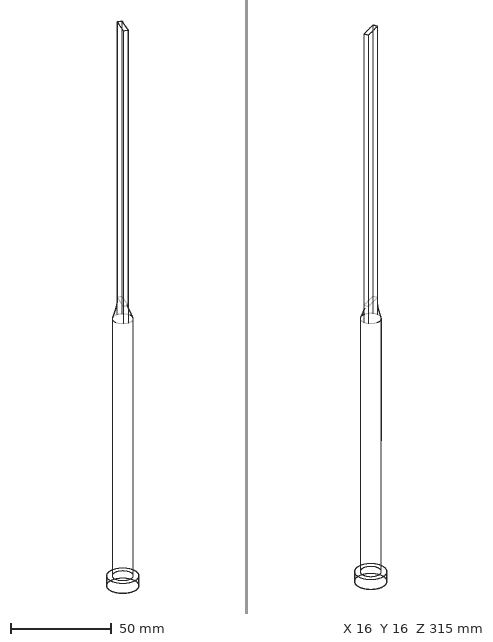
import cadquery as cq
import math

total_length = 315.0
head_diameter = 16.0
head_height = 5.7
shaft_diameter = 10.5
blade_thickness = 2.5
blade_length = 155.0
taper_length = 9.8

shaft_radius = shaft_diameter / 2
blade_width = math.sqrt(shaft_diameter**2 - blade_thickness**2)
corner_x = blade_width / 2
corner_y = blade_thickness / 2

taper_top = total_length - blade_length
shaft_top = taper_top - taper_length


def make_cylinder(diameter, height):
    """Round section standing on the base plane."""
    return cq.Workplane("XY").circle(diameter / 2).extrude(height)


def make_blade():
    """Flat rectangular blade above the taper."""
    return (
        cq.Workplane("XY")
        .workplane(offset=taper_top)
        .rect(blade_width, blade_thickness)
        .extrude(blade_length)
    )


def make_taper():
    """Transition from the shaft circle, split at the blade corners, to the blade rectangle."""
    return (
        cq.Workplane("XY")
        .workplane(offset=shaft_top)
        .moveTo(-corner_x, -corner_y)
        .threePointArc((0, -shaft_radius), (corner_x, -corner_y))
        .threePointArc((shaft_radius, 0), (corner_x, corner_y))
        .threePointArc((0, shaft_radius), (-corner_x, corner_y))
        .threePointArc((-shaft_radius, 0), (-corner_x, -corner_y))
        .close()
        .workplane(offset=taper_length, origin=(0, 0, shaft_top))
        .moveTo(-corner_x, -corner_y)
        .lineTo(corner_x, -corner_y)
        .lineTo(corner_x, corner_y)
        .lineTo(-corner_x, corner_y)
        .close()
        .loft(ruled=True, combine=True)
    )


head = make_cylinder(head_diameter, head_height)
shaft = make_cylinder(shaft_diameter, shaft_top)

result = head.union(shaft).union(make_taper()).union(make_blade())